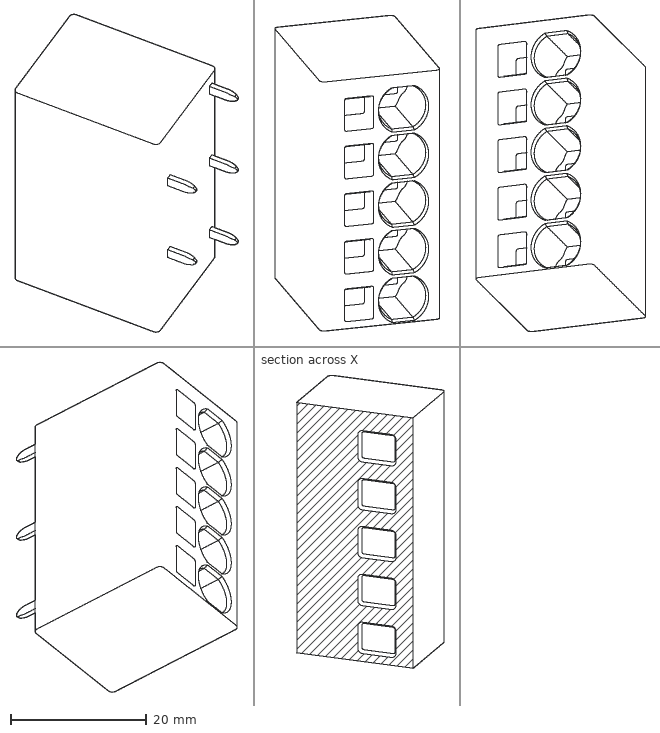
import cadquery as cq
import math

body_length = 24.2
body_width = 18.5
body_height = 39.3
corner_radius = 0.75

pole_count = 5
pole_pitch = 7.5
first_opening_z = 14.1
first_pin_z = 16.9

entry_y = -3.5
entry_radius = 3.9
entry_half_height = 3.5
entry_rim_depth = 0.65
entry_rim_angle = 21.0
entry_depth = 11.8
funnel_floor_width = 5.25
funnel_floor_height = 4.13
funnel_corner_radius = 0.3
funnel_angle = 30.0
funnel_reach = 3.93

slot_inner_y = 1.1
slot_mouth_width = 4.48
slot_floor_width = 3.3
slot_depth = 4.8
slot_mouth_height = 5.2
slot_throat_height = 3.85
slot_flare_depth = 1.4
slot_blend_radius = 1.0
slot_corner_radius = 0.3

pin_rows_y = (7.35, -5.8)
pin_length = 4.55
pin_thickness = 0.8
pin_height = 1.6
pin_tip_thickness = 0.35
pin_tip_height = 0.3
pin_shoulder_height = 1.02
pin_height_taper_start = 2.95
pin_thickness_taper_start = 3.55
pin_shoulder_start = 4.15


def cross_profiles(plan_points, side_points, reach):
    """Solid that has one outline along Z and another along Y."""
    plan = cq.Workplane("XY").polyline(plan_points).close().extrude(reach, both=True)
    side = cq.Workplane("XZ").polyline(side_points).close().extrude(reach, both=True)
    return plan.intersect(side)


def mirrored(upper_points):
    """Closed outline from its upper half."""
    return upper_points + [(x, -v) for x, v in reversed(upper_points)]


def flatted_circle(radius, half_height):
    """Circle with flat top and bottom, centred on the X axis in the front plane."""
    half_flat = math.sqrt(radius**2 - half_height**2)
    return (
        cq.Workplane("YZ")
        .moveTo(-half_flat, half_height)
        .lineTo(half_flat, half_height)
        .threePointArc((radius, 0), (half_flat, -half_height))
        .lineTo(-half_flat, -half_height)
        .threePointArc((-radius, 0), (-half_flat, half_height))
        .close()
    )


def make_entry():
    mouth = flatted_circle(entry_radius, entry_half_height)
    rim = mouth.extrude(entry_rim_depth, taper=entry_rim_angle)
    rim_inset = entry_rim_depth * math.tan(math.radians(entry_rim_angle))
    bore = flatted_circle(entry_radius - rim_inset, entry_half_height - rim_inset).extrude(entry_depth)

    funnel = (
        cq.Workplane("YZ", origin=(entry_depth, 0, 0))
        .sketch()
        .rect(funnel_floor_width, funnel_floor_height)
        .vertices()
        .fillet(funnel_corner_radius)
        .finalize()
        .extrude(-funnel_reach, taper=-funnel_angle)
    )
    straight_depth = entry_depth - funnel_reach
    straight = cq.Workplane("YZ").rect(body_width, body_height).extrude(straight_depth)
    return bore.intersect(straight.union(funnel)).union(rim)


def make_slot():
    plan = [
        (0, slot_inner_y),
        (0, slot_inner_y + slot_mouth_width),
        (slot_depth, slot_inner_y + slot_floor_width),
        (slot_depth, slot_inner_y),
    ]
    half_throat = slot_throat_height / 2
    side = mirrored([(0, slot_mouth_height / 2), (slot_flare_depth, half_throat), (slot_depth, half_throat)])
    slot = cross_profiles(plan, side, body_width)
    throat_x = slot_flare_depth / 2
    throat_zone = cq.selectors.BoxSelector(
        (throat_x, 0, -slot_mouth_height),
        (slot_depth - throat_x, body_width, slot_mouth_height),
    )
    slot = slot.edges("|Y").edges(throat_zone).fillet(slot_blend_radius)
    return slot.edges("not (|Y or |Z)").fillet(slot_corner_radius)


def make_pin():
    plan = mirrored([
        (0, pin_thickness / 2),
        (pin_thickness_taper_start, pin_thickness / 2),
        (pin_length, pin_tip_thickness / 2),
    ])
    side = mirrored([
        (0, pin_height / 2),
        (pin_height_taper_start, pin_height / 2),
        (pin_shoulder_start, pin_shoulder_height / 2),
        (pin_length, pin_tip_height / 2),
    ])
    return cross_profiles(plan, side, pin_height)


result = (
    cq.Workplane("XY")
    .box(body_length, body_width, body_height, centered=(False, True, True))
    .edges("|Z")
    .fillet(corner_radius)
)

entry = make_entry()
slot = make_slot()
pin = make_pin()
for pole in range(pole_count):
    drop = pole * pole_pitch
    opening_z = first_opening_z - drop
    result = result.cut(entry.translate((0, entry_y, opening_z)))
    result = result.cut(slot.translate((0, 0, opening_z)))
    row_y = pin_rows_y[pole % len(pin_rows_y)]
    result = result.union(pin.translate((body_length, row_y, first_pin_z - drop)))